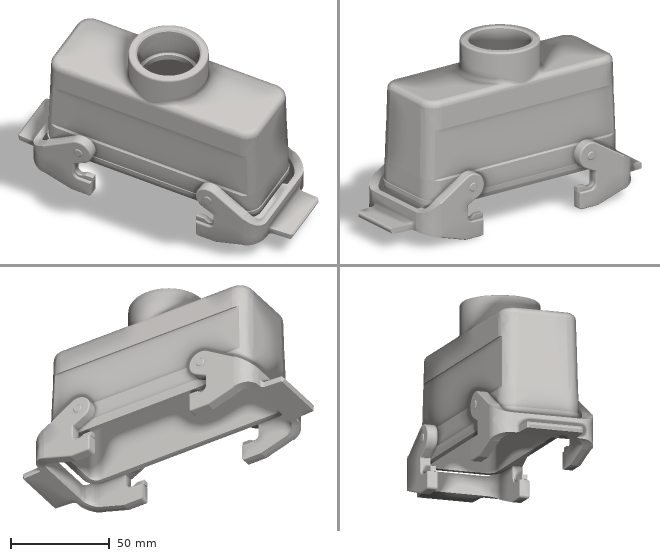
import cadquery as cq
import math

SKIRT_HALF_X = 60.3
SKIRT_HALF_Y = 21.7
SKIRT_TOP = 15.7
ROOF_HALF_X = 59.2
ROOF_HALF_Y = 20.8
ROOF_TOP = 57.5
CORNER_RADIUS = 7.7
ROOF_EDGE_RADIUS = 3.1

RIM_LIP = 0.6
RIM_TOP = 4.7
RIM_TAPER_TOP = 2.4

WALL = 3.1
ROOF_THICKNESS = 2.4

RECESS_TOP = 42.5
RECESS_HALF_Y_TOP = 20.3
RECESS_HALF_Y_BOTTOM = 20.8
RECESS_LEDGE_DROP = 0.8

COLLAR_DIAMETER = 41.0
COLLAR_TOP = 73.7
COLLAR_RIM_RADIUS = 1.1
COLLAR_FOOT_RADIUS = 2.2
BORE_DIAMETER = 32.0
BORE_CHAMFER = 0.8
BORE_FLOOR = 58.2
PASSAGE_DIAMETER = 28.0
SELECTION_MARGIN = 0.2

PIVOT_X = 37.0
PIVOT_Z = 9.9
BOSS_DIAMETER = 7.0
STUD_DIAMETER = 4.7
STUD_CHAMFER = 0.5
STUD_END_Y = 28.3

LEVER_OUTER_X = 66.3
LEVER_INNER_X = 62.8
ARM_OUTER_Y = 27.9
ARM_INNER_Y = 22.4
YOKE_OUTER_RADIUS = 9.1
YOKE_INNER_RADIUS = 6.0
LEVER_EDGE_RADIUS = 0.8

EYE_RADIUS = 7.1
BRIDGE_TOP_Z = 0.0
BRIDGE_BOTTOM_Z = -10.4
LEVER_BOTTOM_Z = -18.1
LEVER_HEIGHT = PIVOT_Z + EYE_RADIUS - LEVER_BOTTOM_Z
BOTTOM_FLAT_X = 41.4
HOOK_END_X = 30.0
HOOK_CORNER_RADIUS = 1.3
HOOK_TOP_Z = -8.8
SLOT_X = 40.0
SLOT_TOP_Z = 0.5
SLOT_RADIUS = 3.1

LATCH_WIDTH = 3.0
LATCH_INSET = 1.0
LATCH_END_X = 29.6
LATCH_VALLEY_RADIUS = 3.0
LATCH_VALLEY_Z = -7.5
LATCH_CREST_X = 33.4
LATCH_CREST_Z = -6.1

TAB_END_X = 78.7
TAB_TOP_Z = -7.2
TAB_BOTTOM_Z = BRIDGE_BOTTOM_Z
TAB_TIP_HALF_Y = 15.1
TAB_ROOT_HALF_Y = 15.7
TAB_ROOT_RADIUS = 1.9
TAB_TIP_CHAMFER = 0.8
TAB_TIP_BEVEL = 1.5
TAB_CORNER_CHAMFER = 1.3


def rounded_block(half_x, half_y, radius, bottom, top):
    """Upright block with rounded vertical corners."""
    return (
        cq.Workplane("XY", origin=(0, 0, bottom))
        .rect(2 * half_x, 2 * half_y)
        .extrude(top - bottom)
        .edges("|Z")
        .fillet(radius)
    )


def tapered_block(lower, upper, bottom, top):
    """Loft between two rounded rectangles, each given as (half_x, half_y, radius)."""

    def section(half_x, half_y, radius):
        return cq.Sketch().rect(2 * half_x, 2 * half_y).vertices().fillet(radius)

    return (
        cq.Workplane("XY")
        .placeSketch(
            section(*lower).moved(cq.Location(cq.Vector(0, 0, bottom))),
            section(*upper).moved(cq.Location(cq.Vector(0, 0, top))),
        )
        .loft(ruled=True)
    )


def upright_cylinder(diameter, bottom, top):
    return cq.Workplane("XY", origin=(0, 0, bottom)).circle(diameter / 2).extrude(top - bottom)


def housing_shell():
    """Tapered hood on a straight skirt, with a lip around the bottom rim."""
    hood = tapered_block(
        (SKIRT_HALF_X, SKIRT_HALF_Y, CORNER_RADIUS),
        (ROOF_HALF_X, ROOF_HALF_Y, CORNER_RADIUS),
        SKIRT_TOP,
        ROOF_TOP,
    )
    hood = hood.faces(">Z").edges().fillet(ROOF_EDGE_RADIUS)
    skirt = rounded_block(SKIRT_HALF_X, SKIRT_HALF_Y, CORNER_RADIUS, RIM_TOP, SKIRT_TOP)
    lip_size = (SKIRT_HALF_X + RIM_LIP, SKIRT_HALF_Y + RIM_LIP, CORNER_RADIUS + RIM_LIP)
    lip = rounded_block(*lip_size, RIM_TAPER_TOP, RIM_TOP)
    rim = tapered_block((SKIRT_HALF_X, SKIRT_HALF_Y, CORNER_RADIUS), lip_size, 0, RIM_TAPER_TOP)
    return hood.union(skirt).union(lip).union(rim)


def side_recess():
    """Shallow band cut into the -Y side, with a sloping ledge below it."""
    clear_y = SKIRT_HALF_Y + RIM_LIP
    return (
        cq.Workplane("YZ")
        .polyline(
            [
                (-RECESS_HALF_Y_TOP, RECESS_TOP),
                (-RECESS_HALF_Y_BOTTOM, SKIRT_TOP),
                (-SKIRT_HALF_Y, SKIRT_TOP - RECESS_LEDGE_DROP),
                (-clear_y, SKIRT_TOP - RECESS_LEDGE_DROP),
                (-clear_y, RECESS_TOP),
            ]
        )
        .close()
        .extrude(SKIRT_HALF_X, both=True)
    )


def cavity():
    """Inside of the hood, open at the bottom."""
    return tapered_block(
        (SKIRT_HALF_X - WALL, SKIRT_HALF_Y - WALL, CORNER_RADIUS - WALL),
        (ROOF_HALF_X - WALL, ROOF_HALF_Y - WALL, CORNER_RADIUS - WALL),
        0,
        ROOF_TOP - ROOF_THICKNESS,
    )


def add_collar(shell):
    """Round cable collar with a filleted foot and a rounded rim."""
    root_z = ROOF_TOP - ROOF_EDGE_RADIUS
    joined = shell.union(upright_cylinder(COLLAR_DIAMETER, root_z, COLLAR_TOP))
    reach = COLLAR_DIAMETER / 2 + SELECTION_MARGIN
    foot = cq.selectors.BoxSelector(
        (-reach, -reach, root_z + SELECTION_MARGIN),
        (reach, reach, ROOF_TOP + SELECTION_MARGIN),
        boundingbox=True,
    )
    joined = joined.edges(foot).fillet(COLLAR_FOOT_RADIUS)
    return joined.faces(">Z").edges().fillet(COLLAR_RIM_RADIUS)


def collar_bore():
    """Stepped bore of the collar, chamfered at its mouth."""
    bore = upright_cylinder(BORE_DIAMETER, BORE_FLOOR, COLLAR_TOP)
    mouth = (
        cq.Workplane("XY", origin=(0, 0, COLLAR_TOP))
        .circle(BORE_DIAMETER / 2 + BORE_CHAMFER)
        .workplane(offset=-BORE_CHAMFER)
        .circle(BORE_DIAMETER / 2)
        .loft()
    )
    passage = upright_cylinder(PASSAGE_DIAMETER, ROOF_TOP - ROOF_THICKNESS, BORE_FLOOR)
    return bore.union(mouth).union(passage)


def pivot_stud():
    """Boss and lever stud standing out from the -Y side, at X = 0."""
    root_y = SKIRT_HALF_Y - WALL / 2
    root = cq.Workplane("XZ", origin=(0, -root_y, PIVOT_Z))
    boss = root.circle(BOSS_DIAMETER / 2).extrude(ARM_INNER_Y - root_y)
    stud = (
        root.circle(STUD_DIAMETER / 2)
        .extrude(STUD_END_Y - root_y)
        .faces("<Y")
        .chamfer(STUD_CHAMFER)
    )
    return boss.union(stud)


def build_housing():
    recess = side_recess()
    housing = housing_shell().cut(recess).cut(recess.mirror("XZ"))
    housing = add_collar(housing).cut(cavity()).cut(collar_bore())
    stud = pivot_stud()
    for x in (-PIVOT_X, PIVOT_X):
        for side_stud in (stud, stud.mirror("XZ")):
            housing = housing.union(side_stud.translate((x, 0, 0)))
    return housing


def eye_tangent(x, z, side):
    """Point where the line from (x, z) touches the eye; side is +1 for left of the line, -1 for right."""
    dx = x + PIVOT_X
    dz = z - PIVOT_Z
    turn = side * math.acos(EYE_RADIUS / math.hypot(dx, dz))
    angle = math.atan2(dz, dx) + turn
    return (-PIVOT_X + EYE_RADIUS * math.cos(angle), PIVOT_Z + EYE_RADIUS * math.sin(angle))


def arm_profile():
    """Side outline shared by both arms: eye, sloping back, hook and slot, from the bridge to the hook."""
    slope_foot = (-LEVER_OUTER_X, BRIDGE_TOP_Z)
    slot_corner = (-SLOT_X, SLOT_TOP_Z)
    slot_inset = SLOT_RADIUS * (1 - math.sqrt(0.5))
    corner_inset = HOOK_CORNER_RADIUS * (1 - math.sqrt(0.5))
    return (
        cq.Workplane("XZ")
        .moveTo(*slope_foot)
        .lineTo(*eye_tangent(*slope_foot, -1))
        .threePointArc((-PIVOT_X + EYE_RADIUS, PIVOT_Z), eye_tangent(*slot_corner, 1))
        .lineTo(*slot_corner)
        .lineTo(-SLOT_X, HOOK_TOP_Z + SLOT_RADIUS)
        .threePointArc((-SLOT_X + slot_inset, HOOK_TOP_Z + slot_inset), (-SLOT_X + SLOT_RADIUS, HOOK_TOP_Z))
        .lineTo(-HOOK_END_X, HOOK_TOP_Z)
        .lineTo(-HOOK_END_X, LEVER_BOTTOM_Z + HOOK_CORNER_RADIUS)
        .threePointArc(
            (-HOOK_END_X - corner_inset, LEVER_BOTTOM_Z + corner_inset),
            (-HOOK_END_X - HOOK_CORNER_RADIUS, LEVER_BOTTOM_Z),
        )
        .lineTo(-BOTTOM_FLAT_X, LEVER_BOTTOM_Z)
        .lineTo(-LEVER_OUTER_X, BRIDGE_BOTTOM_Z)
        .close()
        .extrude(ARM_OUTER_Y, both=True)
    )


def arm():
    """Straight arm on the -Y side, ending where the yoke starts to bend."""
    plan = (
        cq.Workplane("XY", origin=(0, 0, LEVER_BOTTOM_Z))
        .polyline(
            [
                (-LEVER_OUTER_X + YOKE_OUTER_RADIUS, -ARM_OUTER_Y),
                (-LEVER_INNER_X + YOKE_INNER_RADIUS, -ARM_INNER_Y),
                (0, -ARM_INNER_Y),
                (0, -ARM_OUTER_Y),
            ]
        )
        .close()
        .extrude(LEVER_HEIGHT)
    )
    return arm_profile().intersect(plan)


def bridge():
    """Level bar between the two bends."""
    outer_y = ARM_OUTER_Y - YOKE_OUTER_RADIUS
    inner_y = ARM_INNER_Y - YOKE_INNER_RADIUS
    return (
        cq.Workplane("XY", origin=(0, 0, BRIDGE_BOTTOM_Z))
        .polyline(
            [
                (-LEVER_OUTER_X, -outer_y),
                (-LEVER_OUTER_X, outer_y),
                (-LEVER_INNER_X, inner_y),
                (-LEVER_INNER_X, -inner_y),
            ]
        )
        .close()
        .extrude(BRIDGE_TOP_Z - BRIDGE_BOTTOM_Z)
    )


def bend_edge(far_x, far_y, radius, bridge_z, slope):
    """Elliptic quarter bend at the -Y side, level at the bridge and climbing to the slope of the arm."""
    bend_x = radius - far_x
    arm_z = bridge_z + slope * (LEVER_OUTER_X + bend_x)
    centre = cq.Vector(bend_x, radius - far_y, arm_z)
    to_bridge = cq.Vector(-radius, 0, bridge_z - arm_z)
    to_arm = cq.Vector(0, -radius, 0)
    return cq.Edge.makeEllipse(
        to_bridge.Length,
        radius,
        pnt=centre,
        dir=to_bridge.cross(to_arm),
        xdir=to_bridge,
        angle1=0,
        angle2=90,
    )


def bend_face(bridge_z, slope):
    """Twisted top or bottom face of the bend, ruled from its outer to its inner edge."""
    return cq.Face.makeRuledSurface(
        bend_edge(LEVER_OUTER_X, ARM_OUTER_Y, YOKE_OUTER_RADIUS, bridge_z, slope),
        bend_edge(LEVER_INNER_X, ARM_INNER_Y, YOKE_INNER_RADIUS, bridge_z, slope),
    )


def bend():
    """Bend that joins the bridge to the -Y arm."""
    eye_x, eye_z = eye_tangent(-LEVER_OUTER_X, BRIDGE_TOP_Z, -1)
    top_slope = (eye_z - BRIDGE_TOP_Z) / (eye_x + LEVER_OUTER_X)
    bottom_slope = (LEVER_BOTTOM_Z - BRIDGE_BOTTOM_Z) / (LEVER_OUTER_X - BOTTOM_FLAT_X)
    reach = cq.Vector(0, 0, LEVER_HEIGHT)
    below_top = cq.Solid.extrudeLinear(bend_face(BRIDGE_TOP_Z, top_slope), -reach)
    above_bottom = cq.Solid.extrudeLinear(bend_face(BRIDGE_BOTTOM_Z, bottom_slope), reach)
    return cq.Workplane(below_top).intersect(cq.Workplane(above_bottom))


def latch_nose(inner_y):
    """Raised inner half of the hook, with a rounded valley and a crest."""
    valley_x = -SLOT_X + LATCH_VALLEY_RADIUS
    valley_centre_z = LATCH_VALLEY_Z + LATCH_VALLEY_RADIUS
    valley_reach = LATCH_VALLEY_RADIUS * math.sqrt(0.5)
    root_z = HOOK_TOP_Z - LATCH_WIDTH
    return (
        cq.Workplane("XZ", origin=(0, inner_y + LATCH_WIDTH, 0))
        .moveTo(-SLOT_X, root_z)
        .lineTo(-SLOT_X, valley_centre_z)
        .threePointArc((valley_x - valley_reach, valley_centre_z - valley_reach), (valley_x, LATCH_VALLEY_Z))
        .spline([(-LATCH_CREST_X, LATCH_CREST_Z)], tangents=[(1, 0), (1, 0)], includeCurrent=True)
        .lineTo(-LATCH_END_X, LATCH_CREST_Z)
        .lineTo(-LATCH_END_X, HOOK_TOP_Z)
        .lineTo(-HOOK_END_X, HOOK_TOP_Z)
        .lineTo(-HOOK_END_X, root_z)
        .close()
        .extrude(LATCH_WIDTH)
    )


def finger_tab():
    """Flat tab on the outside of the bridge, flared where it meets the bridge."""
    root_x = -(LEVER_OUTER_X + LEVER_INNER_X) / 2
    face_x = -LEVER_OUTER_X
    flare = TAB_ROOT_RADIUS
    bend = flare * math.sqrt(0.5)
    flared_y = TAB_ROOT_HALF_Y + flare
    flared_z = TAB_TOP_Z + flare
    side = (
        cq.Workplane("XZ")
        .moveTo(root_x, TAB_BOTTOM_Z)
        .lineTo(root_x, flared_z)
        .lineTo(face_x, flared_z)
        .threePointArc((face_x - flare + bend, flared_z - bend), (face_x - flare, TAB_TOP_Z))
        .lineTo(-TAB_END_X + TAB_TIP_CHAMFER, TAB_TOP_Z)
        .lineTo(-TAB_END_X, TAB_TOP_Z - TAB_TIP_CHAMFER)
        .lineTo(-TAB_END_X, TAB_BOTTOM_Z + TAB_TIP_BEVEL)
        .lineTo(-TAB_END_X + TAB_TIP_CHAMFER, TAB_BOTTOM_Z)
        .close()
        .extrude(flared_y, both=True)
    )
    plan = (
        cq.Workplane("XY", origin=(0, 0, TAB_BOTTOM_Z))
        .moveTo(root_x, flared_y)
        .lineTo(face_x, flared_y)
        .threePointArc((face_x - flare + bend, flared_y - bend), (face_x - flare, TAB_ROOT_HALF_Y))
        .lineTo(-TAB_END_X, TAB_TIP_HALF_Y)
        .lineTo(-TAB_END_X, -TAB_TIP_HALF_Y)
        .lineTo(face_x - flare, -TAB_ROOT_HALF_Y)
        .threePointArc((face_x - flare + bend, -flared_y + bend), (face_x, -flared_y))
        .lineTo(root_x, -flared_y)
        .close()
        .extrude(flared_z - TAB_BOTTOM_Z)
        .edges("|Z and <X")
        .chamfer(TAB_CORNER_CHAMFER)
    )
    return side.intersect(plan)


def build_lever():
    """Lever at the -X end."""
    side = arm().union(bend())
    lever = bridge().union(side).union(side.mirror("XZ"))
    lever = lever.faces("<Y or >Y").edges("not |Z or >X").fillet(LEVER_EDGE_RADIUS)
    for inner_y in (ARM_INNER_Y + LATCH_INSET, -ARM_INNER_Y - LATCH_INSET - LATCH_WIDTH):
        lever = lever.union(latch_nose(inner_y))
    lever = lever.union(finger_tab())
    pivot_hole = (
        cq.Workplane("XZ", origin=(-PIVOT_X, 0, PIVOT_Z))
        .circle(STUD_DIAMETER / 2)
        .extrude(ARM_OUTER_Y, both=True)
    )
    return lever.cut(pivot_hole)


housing = build_housing()
left_lever = build_lever()
levers = [left_lever, left_lever.mirror("YZ")]

result = cq.Compound.makeCompound([housing.val(), *[lever.val() for lever in levers]])